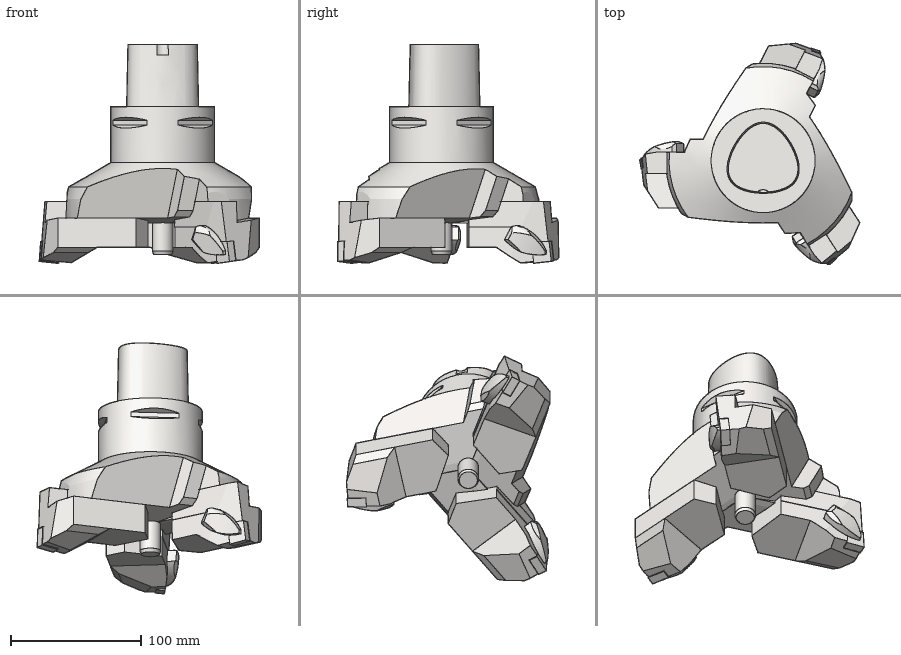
import cadquery as cq
import math

TOOTH_ANGLES = (180, 303, 423)
TOTAL_HEIGHT = 168.5

SHANK_BASE_Z = 120.5
SHANK_MEAN_RADIUS = 27.4
SHANK_LOBE = 2.2
SHANK_LOBE_ANGLES = (0, 120, 240)
SHANK_SEAM_ANGLE = 25.0
SHANK_STEPS = 6
SHANK_TAPER = 1.0
NOTCH_RADIUS = 6.1
NOTCH_DEPTH = 8.3
NOTCH_AXIS_Y = -28.5

FLANGE_RADIUS = 80.0 / 2
FLANGE_BOTTOM_Z = 77.6
SKIRT_RADIUS = 72.4
SKIRT_SLOPE = 30.0
SHOULDER_RADIUS = 75.0
SHOULDER_Z = 49.2
HOLDER_BOTTOM_Z = 31.0
FLAT_RADIUS = 73.7
FLAT_LEAN = 0.05

GROOVE_ANGLES = (45, 135, 225, 315)
GROOVE_Z = 108.3
GROOVE_FLOOR_RADIUS = 35.5
GROOVE_FLOOR_WIDTH = 3.5
GROOVE_MOUTH_WIDTH = 8.3

NOZZLE_RADIUS = 16.0 / 2
NOZZLE_BOTTOM_Z = 6.8
NOZZLE_CHAMFER = 1.0
NOZZLE_CHAMFER_HEIGHT = 2.7

SEAT_Y = -6.5
STEP_Y = -16.5
GULLET_LEAN = 0.368
FLANK_X = 19.5
STEP_X = 31.5
STEP_CHAMFER_Z = 40.7
STEP_CHAMFER = 7.7

BAR_TOP_Z = 30.3
BAR_TOP_SLOPE = 0.127

POST_TOP_Z = 47.7
POST_BACK_Y = 9.7
BAR_BACK_Y = 36.5
BAR_BOTTOM_Z = 12.5
BACK_CHAMFER = 4.1
BACK_CHAMFER_WIDTH = 5.6
FOOT_SLOPE = 0.325
SEAT_STEP_Z = 28.1
SEAT_STEP = 0.3
BAR_END_BACK = (20.5, BAR_BACK_Y)
BAR_END_TIP = (11.2, 21.1)
BAR_END_SEAT = (26.9, SEAT_Y)
FOOT_START_X = 50.2
FOOT_X = 70.3
FOOT_Z = 0.5
FOOT_RELIEF = 0.1
END_X = 94.3
END_LEAN_Y = 0.11
END_LEAN_Z = 0.089
END_BEVEL_X = 80.5
END_BEVEL_RUN = 0.64

RAKE_START_X = 82.4
RAKE_START_LEAN = 0.51
RAKE_SLOPE = 0.167

INSERT_X = 80.7
INSERT_OUTER_X = 95.0
INSERT_HEIGHT = 16.9
INSERT_RISE = 1.5
INSERT_BACK_LEAN = 1.4
INSERT_THICKNESS = 7.0

CLAMP_ORIGIN = (63.7, SEAT_Y, 22.6)
CLAMP_TILT = 30.0
CLAMP_LENGTH = 31.7
CLAMP_HEIGHT = 8.3
CLAMP_DEPTH = 6.8
CLAMP_HALF_WIDTH = 9.9
CLAMP_LOW_SIDE = -5.5
CLAMP_LOW_BULGE = (18.7, -6.1)
CLAMP_END_HIGH = 6.3
CLAMP_CORNER = (2.2, 8.9)
CLAMP_HIGH_BULGE = (15.3, 9.4)
CLAMP_TIP_HIGH = (30.6, 2.5)
CLAMP_END_HEIGHT = 6.6
CLAMP_CREST = 3.4
CLAMP_NOSE_BULGE = (18.7, 4.1)
CLAMP_TIP_HEIGHT = -2.7
CLAMP_HIGH_WALL = 1.7
CLAMP_BEVEL = 6.8
CLAMP_ROUND_START = 1.7
CLAMP_ROUND_BULGE = (7.5, 6.1)

FAR = 204.3


def prism(points, direction):
    """Solid swept from a flat polygon of 3D points along any direction."""
    outline = cq.Wire.makePolygon([cq.Vector(*p) for p in points], close=True)
    return cq.Workplane(obj=cq.Solid.extrudeLinear(outline, [], cq.Vector(*direction)))


def at_tooth(shape, angle):
    return shape.rotate((0, 0, 0), (0, 0, 1), angle)


def at_teeth(shape):
    """Copies of a tooth-frame shape at every tooth."""
    return [at_tooth(shape, angle) for angle in TOOTH_ANGLES]


def bar_top(y):
    return BAR_TOP_Z + BAR_TOP_SLOPE * y


def rake_y(x, z):
    start_x = RAKE_START_X - RAKE_START_LEAN * (POST_TOP_Z - z)
    return SEAT_Y + RAKE_SLOPE * (x - start_x)


def rake_workplane():
    """Plane of the rake face, facing away from the cartridge, at the insert's lower inner corner."""
    origin = (INSERT_X, rake_y(INSERT_X, 0), 0)
    normal = (RAKE_SLOPE, -1, -RAKE_SLOPE * RAKE_START_LEAN)
    return cq.Workplane(cq.Plane(origin, (1, RAKE_SLOPE, 0), normal))


def shank_point(mean_radius, z, degrees):
    """Point of the lobed curve; the angle runs from the lobe along +Y."""
    angle = math.radians(degrees)
    x = mean_radius * math.sin(angle) - SHANK_LOBE * math.sin(2 * angle)
    y = mean_radius * math.cos(angle) + SHANK_LOBE * math.cos(2 * angle)
    return cq.Vector(x, y, z)


def shank_tangent(mean_radius, degrees):
    angle = math.radians(degrees)
    x = mean_radius * math.cos(angle) - 2 * SHANK_LOBE * math.cos(2 * angle)
    y = -mean_radius * math.sin(angle) - 2 * SHANK_LOBE * math.sin(2 * angle)
    return cq.Vector(x, y, 0)


def shank_outline(mean_radius, z):
    """Closed curve of three lobes and three flanks."""
    edges = []
    for lobe in SHANK_LOBE_ANGLES:
        next_lobe = lobe + SHANK_LOBE_ANGLES[1]
        seams = (lobe - SHANK_SEAM_ANGLE, lobe + SHANK_SEAM_ANGLE, next_lobe - SHANK_SEAM_ANGLE)
        for start, end in zip(seams, seams[1:]):
            steps = [start + (end - start) * i / SHANK_STEPS for i in range(SHANK_STEPS + 1)]
            points = [shank_point(mean_radius, z, step) for step in steps]
            tangents = [shank_tangent(mean_radius, start), shank_tangent(mean_radius, end)]
            edges.append(cq.Edge.makeSpline(points, tangents=tangents))
    return cq.Wire.assembleEdges(edges)


def make_shank():
    base = shank_outline(SHANK_MEAN_RADIUS, SHANK_BASE_Z)
    top = shank_outline(SHANK_MEAN_RADIUS - SHANK_TAPER, TOTAL_HEIGHT)
    shank = cq.Workplane(obj=cq.Solid.makeLoft([base, top], True))
    notch = (
        cq.Workplane("XY", origin=(0, NOTCH_AXIS_Y, TOTAL_HEIGHT - NOTCH_DEPTH))
        .circle(NOTCH_RADIUS)
        .extrude(NOTCH_DEPTH)
    )
    return shank.cut(notch)


def make_turned_body():
    skirt_drop = (SKIRT_RADIUS - FLANGE_RADIUS) * math.tan(math.radians(SKIRT_SLOPE))
    return (
        cq.Workplane("XZ")
        .polyline([
            (0, HOLDER_BOTTOM_Z),
            (SHOULDER_RADIUS, HOLDER_BOTTOM_Z),
            (SHOULDER_RADIUS, SHOULDER_Z),
            (SKIRT_RADIUS, FLANGE_BOTTOM_Z - skirt_drop),
            (FLANGE_RADIUS, FLANGE_BOTTOM_Z),
            (FLANGE_RADIUS, SHANK_BASE_Z),
            (0, SHANK_BASE_Z),
        ])
        .close()
        .revolve(360, (0, 0), (0, 1))
    )


def make_groove():
    depth = FLANGE_RADIUS - GROOVE_FLOOR_RADIUS
    return (
        cq.Workplane("XZ")
        .polyline([
            (GROOVE_FLOOR_RADIUS, GROOVE_Z - GROOVE_FLOOR_WIDTH / 2),
            (GROOVE_FLOOR_RADIUS + depth, GROOVE_Z - GROOVE_MOUTH_WIDTH / 2),
            (GROOVE_FLOOR_RADIUS + depth, GROOVE_Z + GROOVE_MOUTH_WIDTH / 2),
            (GROOVE_FLOOR_RADIUS, GROOVE_Z + GROOVE_FLOOR_WIDTH / 2),
        ])
        .close()
        .extrude(FLANGE_RADIUS, both=True)
    )


def make_gullet(pitch):
    """Room in front of a tooth, one pitch after the last: flank, step and seat wall, open outwards."""
    across = -math.cos(math.radians(pitch))
    along = math.sin(math.radians(pitch))
    seat_x = STEP_X + (SEAT_Y - STEP_Y) * across / along
    outline = [
        (FLANK_X - FAR * across, STEP_Y - FAR * along, 0),
        (FLANK_X, STEP_Y, 0),
        (STEP_X, STEP_Y, 0),
        (seat_x, SEAT_Y, 0),
        (FAR, SEAT_Y, 0),
        (FAR, STEP_Y - FAR * along, 0),
    ]
    return prism(outline, (GULLET_LEAN * SHANK_BASE_Z, 0, SHANK_BASE_Z))


def make_step_chamfer(pitch):
    """Bevel under the outer face of the step."""
    run = -1 / math.tan(math.radians(pitch))
    edge_x = STEP_X + GULLET_LEAN * STEP_CHAMFER_Z
    width = SEAT_Y - STEP_Y
    outline = [
        (edge_x, STEP_Y, STEP_CHAMFER_Z),
        (edge_x - STEP_CHAMFER, STEP_Y, STEP_CHAMFER_Z - STEP_CHAMFER),
        (edge_x, STEP_Y, STEP_CHAMFER_Z - STEP_CHAMFER),
    ]
    return prism(outline, (run * width, width, 0))


def make_underside(next_pitch):
    """Space under an arm: a sloping roof between this seat plane and the next tooth's."""
    turn = math.radians(next_pitch)
    corner_x = -SEAT_Y * (1 + math.cos(turn)) / math.sin(turn)
    wedge = (
        cq.Workplane("XY")
        .polyline([
            (corner_x, SEAT_Y),
            (FAR, SEAT_Y),
            (FAR, FAR),
            (corner_x + FAR * math.cos(turn), SEAT_Y + FAR * math.sin(turn)),
        ])
        .close()
        .extrude(FAR)
    )
    below_roof = prism(
        [(-FAR, -FAR, bar_top(-FAR)), (-FAR, FAR, bar_top(FAR)), (-FAR, FAR, -FAR), (-FAR, -FAR, -FAR)],
        (2 * FAR, 0, 0),
    )
    return wedge.intersect(below_roof)


def make_post_flat():
    run = FLAT_LEAN * SHOULDER_Z
    outline = [
        (FLAT_RADIUS + run, -FAR, 0),
        (FLAT_RADIUS - run, -FAR, 2 * SHOULDER_Z),
        (FAR, -FAR, 2 * SHOULDER_Z),
        (FAR, -FAR, 0),
    ]
    return prism(outline, (0, 2 * FAR, 0))


def make_nozzle():
    return (
        cq.Workplane("XY", origin=(0, 0, NOZZLE_BOTTOM_Z))
        .circle(NOZZLE_RADIUS)
        .extrude(SHOULDER_Z - NOZZLE_BOTTOM_Z)
        .faces("<Z")
        .chamfer(NOZZLE_CHAMFER_HEIGHT, NOZZLE_CHAMFER)
    )


def make_holder(cartridges):
    holder = make_turned_body()
    groove = make_groove()
    for angle in GROOVE_ANGLES:
        holder = holder.cut(groove.rotate((0, 0, 0), (0, 0, 1), angle))
    for i, angle in enumerate(TOOTH_ANGLES):
        pitch = (angle - TOOTH_ANGLES[i - 1]) % 360
        next_pitch = (TOOTH_ANGLES[(i + 1) % len(TOOTH_ANGLES)] - angle) % 360
        tools = (make_gullet(pitch), make_step_chamfer(pitch), make_underside(next_pitch), make_post_flat())
        for tool in tools:
            holder = holder.cut(at_tooth(tool, angle))
    for cartridge in cartridges:
        holder = holder.cut(cartridge)
    return holder.union(make_shank()).union(make_nozzle())


def make_insert():
    width = (INSERT_OUTER_X - INSERT_X) * math.hypot(1, RAKE_SLOPE)
    return (
        rake_workplane()
        .polyline([
            (0, 0),
            (width, INSERT_RISE),
            (width - INSERT_BACK_LEAN, INSERT_HEIGHT),
            (0, INSERT_HEIGHT),
        ])
        .close()
        .extrude(-INSERT_THICKNESS)
    )


def make_block():
    """L-shaped cartridge block: a bar with a post along its seat side."""
    foot_back_z = BAR_BOTTOM_Z - BACK_CHAMFER
    foot_back_y = BAR_BACK_Y - BACK_CHAMFER_WIDTH
    section = (
        cq.Workplane("YZ")
        .polyline([
            (SEAT_Y, POST_TOP_Z),
            (POST_BACK_Y, POST_TOP_Z),
            (POST_BACK_Y, bar_top(POST_BACK_Y)),
            (BAR_BACK_Y, bar_top(BAR_BACK_Y)),
            (BAR_BACK_Y, BAR_BOTTOM_Z),
            (foot_back_y, foot_back_z),
            (foot_back_y - foot_back_z / FOOT_SLOPE, 0),
            (SEAT_Y + SEAT_STEP, 0),
            (SEAT_Y + SEAT_STEP, SEAT_STEP_Z),
            (SEAT_Y, SEAT_STEP_Z),
        ])
        .close()
        .extrude(FAR)
    )
    bevel_x = END_BEVEL_X + END_BEVEL_RUN * (BAR_BACK_Y - SEAT_Y)
    footprint = (
        cq.Workplane("XY")
        .polyline([
            BAR_END_SEAT,
            (bevel_x, SEAT_Y),
            (END_BEVEL_X, BAR_BACK_Y),
            BAR_END_BACK,
            BAR_END_TIP,
        ])
        .close()
        .extrude(POST_TOP_Z)
    )
    side = (
        cq.Workplane("XZ", origin=(0, FAR, 0))
        .polyline([
            (0, BAR_BOTTOM_Z),
            (FOOT_START_X, BAR_BOTTOM_Z),
            (FOOT_X, FOOT_Z),
            (FAR, FOOT_Z + FOOT_RELIEF * (FAR - FOOT_X)),
            (FAR, POST_TOP_Z),
            (0, POST_TOP_Z),
        ])
        .close()
        .extrude(2 * FAR)
    )
    beyond_end = prism(
        [
            (END_X + END_LEAN_Y * FAR, -FAR, 0),
            (END_X - END_LEAN_Y * FAR, FAR, 0),
            (2 * FAR, FAR, 0),
            (2 * FAR, -FAR, 0),
        ],
        (-END_LEAN_Z * POST_TOP_Z, 0, POST_TOP_Z),
    )
    before_rake = rake_workplane().rect(FAR, FAR).extrude(FAR)
    return section.intersect(footprint).intersect(side).cut(beyond_end).cut(before_rake)


def make_clamp():
    """Clamp over the insert: a rounded tongue that falls away to its tip."""
    tilt = math.radians(CLAMP_TILT)
    along = cq.Vector(math.cos(tilt), 0, -math.sin(tilt))
    across = cq.Vector(math.sin(tilt), 0, math.cos(tilt))
    outwards = cq.Vector(0, -1, 0)
    plan = (
        cq.Workplane(cq.Plane(CLAMP_ORIGIN, along, outwards))
        .moveTo(0, CLAMP_LOW_SIDE)
        .lineTo(0, CLAMP_END_HIGH)
        .lineTo(CLAMP_CORNER[0], CLAMP_CORNER[1])
        .threePointArc(CLAMP_HIGH_BULGE, CLAMP_TIP_HIGH)
        .lineTo(CLAMP_LENGTH, 0)
        .threePointArc(CLAMP_LOW_BULGE, (0, CLAMP_LOW_SIDE))
        .close()
        .extrude(CLAMP_HEIGHT + CLAMP_DEPTH)
        .translate((0, CLAMP_DEPTH, 0))
    )
    lengthwise = (
        cq.Workplane(cq.Plane(CLAMP_ORIGIN, along, across * -1))
        .moveTo(0, -CLAMP_DEPTH)
        .lineTo(0, CLAMP_END_HEIGHT)
        .lineTo(CLAMP_CREST, CLAMP_HEIGHT)
        .threePointArc(CLAMP_NOSE_BULGE, (CLAMP_LENGTH, CLAMP_TIP_HEIGHT))
        .lineTo(CLAMP_LENGTH, -CLAMP_DEPTH)
        .close()
        .extrude(CLAMP_LENGTH, both=True)
    )
    crosswise = (
        cq.Workplane(cq.Plane(CLAMP_ORIGIN, across, along))
        .moveTo(-CLAMP_HALF_WIDTH, -CLAMP_DEPTH)
        .lineTo(-CLAMP_HALF_WIDTH, CLAMP_HIGH_WALL)
        .lineTo(CLAMP_BEVEL - CLAMP_HALF_WIDTH, CLAMP_HEIGHT)
        .lineTo(CLAMP_ROUND_START, CLAMP_HEIGHT)
        .threePointArc(CLAMP_ROUND_BULGE, (CLAMP_HALF_WIDTH, CLAMP_HIGH_WALL))
        .lineTo(CLAMP_HALF_WIDTH, -CLAMP_DEPTH)
        .close()
        .extrude(CLAMP_LENGTH)
    )
    return plan.intersect(lengthwise).intersect(crosswise)


insert = make_insert()
cartridge = make_block().union(make_clamp()).cut(insert)

inserts = at_teeth(insert)
cartridges = at_teeth(cartridge)
holder = make_holder(cartridges)

result = cq.Compound.makeCompound(
    [body.solids().val() for body in [holder, *cartridges, *inserts]]
)